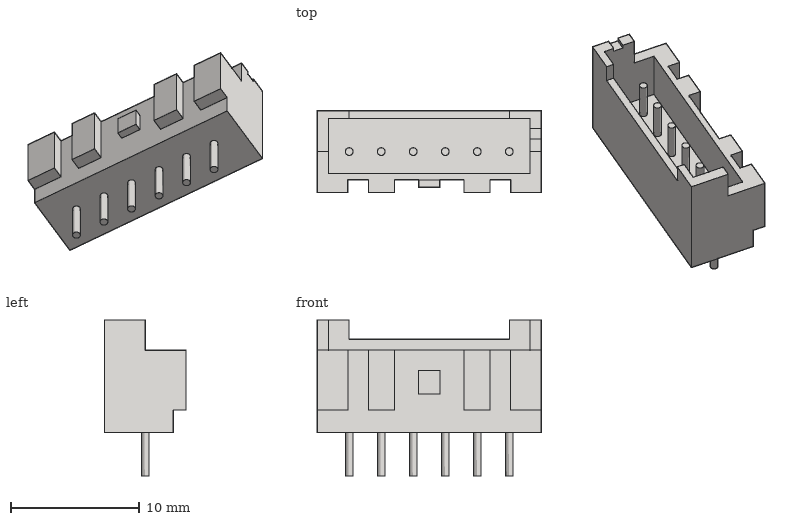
import cadquery as cq

pin_count = 6
pin_pitch = 2.5
pin_diameter = 0.6
pin_top = 5.4
pin_tail = 3.4

length = 17.5
housing_height = 8.8
back_to_pins = 3.2
body_depth = 5.4
back_y = back_to_pins
front_y = back_y - body_depth

back_wall = 0.6
front_wall = 0.5
end_wall = 0.9
cavity_floor = 2.3

low_rim = 6.45
step_y = 0.0
back_rim = 7.3
back_corner = 2.5

notch_depth = 0.3
notch_width = 0.8
notch_from_back = 1.4

rib_depth = 1.0
rib_bottom = 1.75
end_rib_width = 2.4
rib_gap = 1.6
inner_rib_width = 2.05

bump_width = 1.65
bump_depth = 0.6
bump_bottom = 3.0
bump_top = 4.85


def block(x_range, y_range, z_range):
    """Axis-aligned box between the given limits."""
    x0, x1 = x_range
    y0, y1 = y_range
    z0, z1 = z_range
    return cq.Workplane("XY").box(x1 - x0, y1 - y0, z1 - z0, centered=False).translate((x0, y0, z0))


def make_body():
    half = length / 2
    return block((-half, half), (front_y, back_y), (0, housing_height))


def add_ribs(body):
    rib_front = front_y - rib_depth
    inner_start = end_rib_width + rib_gap
    for start, width in ((0, end_rib_width), (inner_start, inner_rib_width)):
        outer_x = length / 2 - start
        rib = block((outer_x - width, outer_x), (rib_front, front_y), (rib_bottom, low_rim))
        body = body.union(rib).union(rib.mirror("YZ"))
    return body


def add_bump(body):
    half = bump_width / 2
    return body.union(block((-half, half), (front_y - bump_depth, front_y), (bump_bottom, bump_top)))


def cut_cavity(body):
    half = length / 2 - end_wall
    y_range = (front_y + front_wall, back_y - back_wall)
    return body.cut(block((-half, half), y_range, (cavity_floor, housing_height)))


def cut_rims(body):
    half = length / 2
    body = body.cut(block((-half, half), (front_y, step_y), (low_rim, housing_height)))
    half_opening = half - back_corner
    y_range = (back_y - back_wall, back_y)
    return body.cut(block((-half_opening, half_opening), y_range, (back_rim, housing_height)))


def cut_notch(body):
    half = length / 2
    notch_back = back_y - notch_from_back
    y_range = (notch_back - notch_width, notch_back)
    z_range = (housing_height - notch_depth, housing_height)
    return body.cut(block((half - end_wall, half), y_range, z_range))


def add_pins(body):
    first_x = -pin_pitch * (pin_count - 1) / 2
    for index in range(pin_count):
        pin = cq.Workplane("XY").circle(pin_diameter / 2).extrude(pin_top + pin_tail)
        body = body.union(pin.translate((first_x + index * pin_pitch, 0, -pin_tail)))
    return body


housing = cut_notch(cut_rims(cut_cavity(make_body())))
result = add_pins(add_bump(add_ribs(housing)))